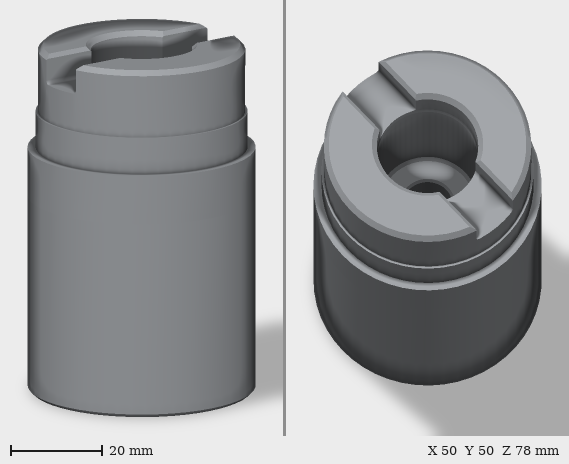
import cadquery as cq

total_height = 78.0
body_diameter = 50.0
base_chamfer = 0.8

split_height = 43.9
shoulder_height = 54.8
neck_height = 63.0
neck_diameter = 46.5
head_diameter = 45.5
head_chamfer = 1.1

slot_width = 10.6
slot_depth = 6.55
slot_mouth_chamfer = 0.85
slot_floor_radius = 0.85

upper_bore_diameter = 22.2
lower_bore_diameter = 22.0
bore_mouth_chamfer = 1.1
bore_floor_chamfer = 0.7
bore_taper_depth = 6.7
bore_taper_height = 1.2
through_hole_diameter = 11.0
through_hole_chamfer = 0.55


def cylinder(diameter, bottom, top):
    """Upright cylinder on the Z axis between two heights."""
    return cq.Workplane("XY").workplane(offset=bottom).circle(diameter / 2).extrude(top - bottom)


def make_base():
    """Lower body with the through hole, chamfered at its bottom rim and at the hole mouth."""
    base = cylinder(body_diameter, 0, split_height).faces("<Z").chamfer(base_chamfer)
    base = base.cut(cylinder(through_hole_diameter, 0, split_height))
    hole_rim = cq.selectors.RadiusNthSelector(0)
    return base.faces(">Z").edges(hole_rim).chamfer(through_hole_chamfer)


def make_bore():
    """Cutter for the stepped bore, with a conical mouth, a slight taper and a chamfered floor."""
    upper_radius = upper_bore_diameter / 2
    lower_radius = lower_bore_diameter / 2
    taper_top = total_height - bore_taper_depth
    profile = [
        (0, split_height),
        (lower_radius - bore_floor_chamfer, split_height),
        (lower_radius, split_height + bore_floor_chamfer),
        (lower_radius, taper_top - bore_taper_height),
        (upper_radius, taper_top),
        (upper_radius, total_height - bore_mouth_chamfer),
        (upper_radius + bore_mouth_chamfer, total_height),
        (0, total_height),
    ]
    return cq.Workplane("XZ").polyline(profile).close().revolve(360, (0, 0), (0, 1))


def make_slot():
    """Cutter for the slot, with rounded floor corners and a chamfered mouth."""
    half_width = slot_width / 2
    mouth_half_width = half_width + slot_mouth_chamfer
    floor_height = total_height - slot_depth
    fillet_top = floor_height + slot_floor_radius
    floor_half_width = half_width - slot_floor_radius
    chamfer_bottom = total_height - slot_mouth_chamfer
    return (
        cq.Workplane("XZ")
        .moveTo(-mouth_half_width, total_height)
        .lineTo(-half_width, chamfer_bottom)
        .lineTo(-half_width, fillet_top)
        .radiusArc((-floor_half_width, floor_height), -slot_floor_radius)
        .lineTo(floor_half_width, floor_height)
        .radiusArc((half_width, fillet_top), -slot_floor_radius)
        .lineTo(half_width, chamfer_bottom)
        .lineTo(mouth_half_width, total_height)
        .close()
        .extrude(body_diameter / 2, both=True)
    )


def make_head():
    """Upper body: collar, neck and slotted head around the stepped bore."""
    collar = cylinder(body_diameter, split_height, shoulder_height)
    neck = cylinder(neck_diameter, shoulder_height, neck_height)
    crown = cylinder(head_diameter, neck_height, total_height).faces(">Z").chamfer(head_chamfer)
    return collar.union(neck).union(crown).cut(make_bore()).cut(make_slot())


base = make_base()
head = make_head()
result = cq.Compound.makeCompound([base.val(), head.val()])